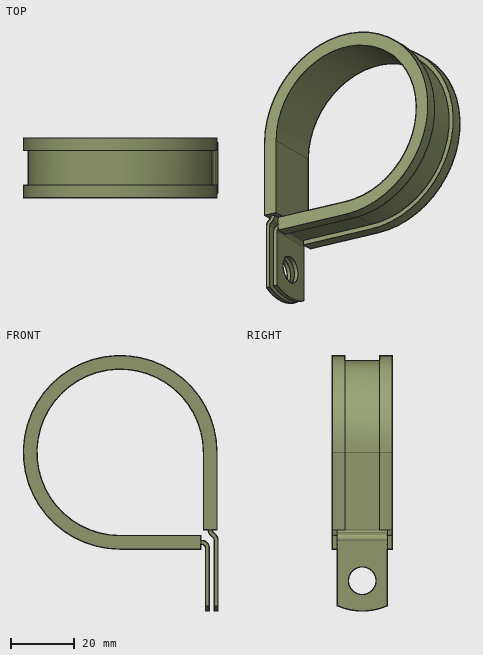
import cadquery as cq
import math

overall_height = 80.4
outer_radius = 30.5
cushion_thickness = 4.3
cushion_width = 18.9
groove_width = 10.85
groove_depth = 1.5
side_leg_end_z = -24.35
bottom_leg_end_x = 25.4

strap_thickness = 1.3
strap_width = 15.75
inner_tab_outer_x = 28.05
outer_tab_outer_x = 30.8
bend_radius = 1.8
jog_angle = math.radians(50)
strap_overlap = 0.8
hole_diameter = 8.6
hole_z = -40.35
tab_tip_rise = 1.7

tip_z = outer_radius - overall_height
strap_outer_offset = outer_radius - groove_depth
strap_middle_offset = strap_outer_offset - strap_thickness / 2


def loop_outline(radius):
    """Three-quarter circle about the Y axis, squared off at its lower right."""
    diagonal = radius * math.sqrt(0.5)
    return (
        cq.Workplane("XZ")
        .moveTo(radius, 0)
        .threePointArc((-diagonal, diagonal), (0, -radius))
        .lineTo(radius, -radius)
        .close()
    )


def loop_slab(radius, width):
    return loop_outline(radius).extrude(width / 2, both=True)


def make_cushion():
    cushion = loop_slab(outer_radius, cushion_width)
    cushion = cushion.cut(loop_slab(outer_radius - cushion_thickness, cushion_width))
    groove = loop_slab(outer_radius, groove_width).cut(loop_slab(strap_outer_offset, groove_width))
    corner_size = 2 * outer_radius
    side_leg_gap = (
        cq.Workplane("XY")
        .box(corner_size, cushion_width, corner_size, centered=(False, True, False))
        .translate((bottom_leg_end_x, 0, side_leg_end_z - corner_size))
    )
    return cushion.cut(groove).cut(side_leg_gap)


def sweep_strap(path, start, plane_name):
    """Sweep the strap section along a centre line starting square to a plane."""
    section = cq.Workplane(plane_name, origin=start)
    if plane_name == "YZ":
        section = section.rect(strap_width, strap_thickness)
    else:
        section = section.rect(strap_thickness, strap_width)
    return section.sweep(path)


def make_bottom_strap():
    tab_x = inner_tab_outer_x - strap_thickness / 2
    start_x = bottom_leg_end_x - strap_overlap
    path = (
        cq.Workplane("XZ")
        .moveTo(start_x, -strap_middle_offset)
        .lineTo(tab_x - bend_radius, -strap_middle_offset)
        .tangentArcPoint((tab_x, -strap_middle_offset - bend_radius), relative=False)
        .lineTo(tab_x, tip_z)
    )
    return sweep_strap(path, (start_x, 0, -strap_middle_offset), "YZ")


def make_side_strap():
    tab_x = outer_tab_outer_x - strap_thickness / 2
    start_z = side_leg_end_z + strap_overlap
    arc_shift = bend_radius * (1 - math.cos(jog_angle))
    arc_drop = bend_radius * math.sin(jog_angle)
    slope_shift = tab_x - strap_middle_offset - 2 * arc_shift
    slope_drop = slope_shift / math.tan(jog_angle)
    slope_start = (strap_middle_offset + arc_shift, side_leg_end_z - arc_drop)
    slope_end = (tab_x - arc_shift, slope_start[1] - slope_drop)
    jog_end = (tab_x, slope_end[1] - arc_drop)
    path = (
        cq.Workplane("XZ")
        .moveTo(strap_middle_offset, start_z)
        .lineTo(strap_middle_offset, side_leg_end_z)
        .tangentArcPoint(slope_start, relative=False)
        .lineTo(*slope_end)
        .tangentArcPoint(jog_end, relative=False)
        .lineTo(tab_x, tip_z)
    )
    return sweep_strap(path, (strap_middle_offset, 0, start_z), "XY")


def make_tab_envelope():
    """Tab outline seen along X, with its rounded tip and bolt hole."""
    half_width = strap_width / 2
    shoulder_z = tip_z + tab_tip_rise
    return (
        cq.Workplane("YZ")
        .moveTo(-half_width, 0)
        .lineTo(-half_width, shoulder_z)
        .threePointArc((0, tip_z), (half_width, shoulder_z))
        .lineTo(half_width, 0)
        .close()
        .moveTo(0, hole_z)
        .circle(hole_diameter / 2)
        .extrude(outer_tab_outer_x)
    )


tab_envelope = make_tab_envelope()
result = make_cushion()
for strap in (make_bottom_strap(), make_side_strap()):
    result = result.union(strap.intersect(tab_envelope))